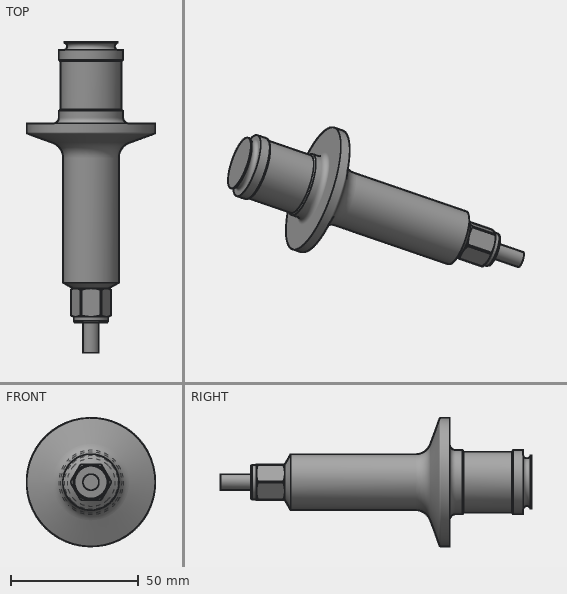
import cadquery as cq
import math

total_length = 121.9

rim_radius = 21.0 / 2
rim_thickness = 0.53
groove_radius = 1.4
collar_radius = 25.3 / 2
collar_top = -3.3
collar_bottom = -7.15

barrel_radius = 24.0 / 2
collar_chamfer = collar_radius - barrel_radius
shoulder_top = -27.2
shoulder_fillet = 2.2

flange_radius = 50.5 / 2
flange_face = -32.05
flange_rim_thickness = 3.45
flange_edge_radius = 0.7
flange_cone_angle = math.radians(20)
neck_fillet = 6.0

body_radius = 22.0 / 2
body_end = -94.4
body_taper_length = 2.3
body_taper_angle = math.radians(60)

nut_sides = 6
nut_across_flats = 14.0
nut_corner_diameter = 15.8
nut_end = -107.75
nut_end_radius = 7.0
nut_corner_turn = 30
nut_chamfer_angle = math.radians(30)

ring_radius = 13.6 / 2
ring_end = -110.05
ring_chamfer_width = 0.4
ring_chamfer_length = 0.7
tube_radius = 6.3 / 2


def add_groove(outline):
    """Round groove from the rim to the collar face, tangent to the face."""
    center_y = collar_top + groove_radius
    start_rise = -rim_thickness - center_y
    center_radius = rim_radius + math.sqrt(groove_radius**2 - start_rise**2)
    return outline.threePointArc(
        (center_radius - groove_radius, center_y), (center_radius, collar_top)
    )


def add_flange(outline):
    """Fillet, flange rim, rounded edge, cone and neck fillet down to the body."""
    half = math.sqrt(0.5)
    outline = outline.lineTo(collar_radius, flange_face + shoulder_fillet)
    outline = outline.threePointArc(
        (
            collar_radius + shoulder_fillet * (1 - half),
            flange_face + shoulder_fillet * (1 - half),
        ),
        (collar_radius + shoulder_fillet, flange_face),
    )

    rim_end = flange_face - flange_rim_thickness
    turn = math.pi / 2 - flange_cone_angle
    edge_center = flange_radius - flange_edge_radius
    cone_start_radius = edge_center + flange_edge_radius * math.cos(turn)
    cone_start = rim_end - flange_edge_radius * math.sin(turn)
    outline = outline.lineTo(flange_radius, flange_face).lineTo(flange_radius, rim_end)
    outline = outline.threePointArc(
        (
            edge_center + flange_edge_radius * math.cos(turn / 2),
            rim_end - flange_edge_radius * math.sin(turn / 2),
        ),
        (cone_start_radius, cone_start),
    )

    neck_center = body_radius + neck_fillet
    cone_end_radius = neck_center - neck_fillet * math.cos(turn)
    cone_end = cone_start - (cone_start_radius - cone_end_radius) * math.tan(flange_cone_angle)
    neck_end = cone_end - neck_fillet * math.sin(turn)
    outline = outline.lineTo(cone_end_radius, cone_end)
    return outline.threePointArc(
        (
            neck_center - neck_fillet * math.cos(turn / 2),
            neck_end + neck_fillet * math.sin(turn / 2),
        ),
        (body_radius, neck_end),
    )


def make_turned_body():
    taper_end_radius = body_radius - body_taper_length * math.tan(body_taper_angle)
    taper_end = body_end - body_taper_length
    outline = cq.Workplane("XY").moveTo(0, 0).lineTo(rim_radius, 0)
    outline = outline.lineTo(rim_radius, -rim_thickness)
    outline = add_groove(outline)
    outline = outline.lineTo(collar_radius, collar_top)
    outline = outline.lineTo(collar_radius, collar_bottom)
    outline = outline.lineTo(barrel_radius, collar_bottom - collar_chamfer)
    outline = outline.lineTo(barrel_radius, shoulder_top + collar_chamfer)
    outline = outline.lineTo(collar_radius, shoulder_top)
    outline = add_flange(outline)
    outline = outline.lineTo(body_radius, body_end)
    outline = outline.lineTo(taper_end_radius, taper_end)
    outline = outline.lineTo(ring_radius, taper_end)
    outline = outline.lineTo(ring_radius, ring_end + ring_chamfer_length)
    outline = outline.lineTo(ring_radius - ring_chamfer_width, ring_end)
    outline = outline.lineTo(tube_radius, ring_end)
    outline = outline.lineTo(tube_radius, -total_length)
    outline = outline.lineTo(0, -total_length).close()
    return outline.revolve(360, (0, 0, 0), (0, 1, 0))


def make_nut():
    """Hexagon with two corners on the X axis, its corners and ends turned down."""
    nut_start = body_end - body_taper_length
    corner_radius = nut_corner_diameter / 2
    chamfer_length = (corner_radius - nut_end_radius) * math.tan(nut_chamfer_angle)
    hexagon = (
        cq.Workplane("XZ", origin=(0, nut_start, 0))
        .polygon(nut_sides, nut_across_flats, circumscribed=True)
        .extrude(nut_start - nut_end)
        .rotate((0, 0, 0), (0, 1, 0), nut_corner_turn)
    )
    envelope = (
        cq.Workplane("XY")
        .moveTo(0, nut_start)
        .lineTo(nut_end_radius, nut_start)
        .lineTo(corner_radius, nut_start - chamfer_length)
        .lineTo(corner_radius, nut_end + chamfer_length)
        .lineTo(nut_end_radius, nut_end)
        .lineTo(0, nut_end)
        .close()
        .revolve(360, (0, 0, 0), (0, 1, 0))
    )
    return hexagon.intersect(envelope)


result = make_turned_body().union(make_nut())